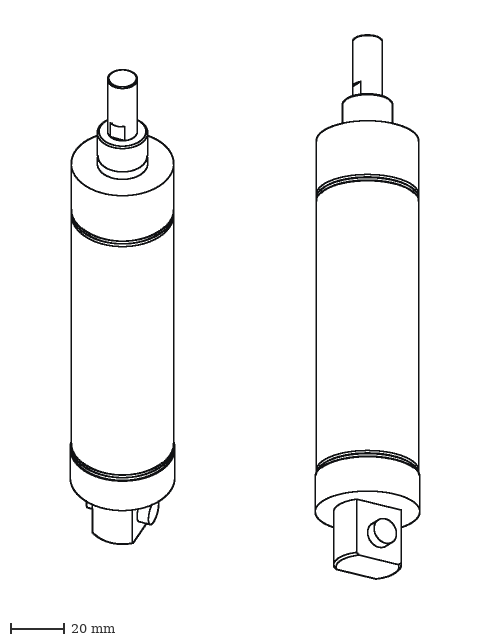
import cadquery as cq

CAP_BOTTOM = 22.7
CAP_TOP = 37.0
HEAD_BOTTOM = 152.8
HEAD_TOP = 174.9
COLLAR_TOP = 190.5
ROD_TOP = 216.2

CAP_DIAMETER = 39.5
TUBE_DIAMETER = 38.7
COLLAR_DIAMETER = 19.0
COLLAR_CHAMFER = 0.6

JOINT_GROOVE_WIDTH = 1.3
JOINT_GROOVE_DEPTH = 0.9
GROOVES_PER_JOINT = 2
JOINT_WIDTH = GROOVES_PER_JOINT * JOINT_GROOVE_WIDTH
COLLAR_GROOVE_BOTTOM = 176.8
COLLAR_GROOVE_WIDTH = 2.8
COLLAR_GROOVE_DEPTH = 0.32

TANG_DIAMETER = 25.5
TANG_THICKNESS = 16.2
TANG_CHAMFER = 0.9

PIN_DIAMETER = 10.0
PIN_LENGTH = TANG_DIAMETER
PIN_HEIGHT = 10.2

ROD_DIAMETER = 11.2
ROD_BOTTOM = HEAD_BOTTOM
ROD_TIP_CHAMFER = 0.5
FLATS_ACROSS = 9.5
FLATS_TOP = 197.1


def cylinder(diameter, bottom, top):
    """Upright cylinder on the Z axis."""
    return cq.Workplane("XY").workplane(offset=bottom).circle(diameter / 2).extrude(top - bottom)


def v_groove(diameter, bottom, width, depth):
    """Ring that cuts a V groove into a cylinder of the given diameter."""
    overshoot = depth
    outer_radius = diameter / 2 + overshoot
    root_radius = diameter / 2 - depth
    middle = bottom + width / 2
    half_mouth = width / 2 * (depth + overshoot) / depth
    return (
        cq.Workplane("XZ")
        .moveTo(root_radius, middle)
        .lineTo(outer_radius, middle - half_mouth)
        .lineTo(outer_radius, middle + half_mouth)
        .close()
        .revolve(360, (0, 0, 0), (0, 1, 0))
    )


def make_pin():
    """Pivot pin across the tang, along X."""
    return (
        cq.Workplane("YZ", origin=(-PIN_LENGTH / 2, 0, PIN_HEIGHT))
        .circle(PIN_DIAMETER / 2)
        .extrude(PIN_LENGTH)
    )


def make_rod():
    """Piston rod with wrench flats on the -Y and +Y sides, just above the collar."""
    rod = cylinder(ROD_DIAMETER, ROD_BOTTOM, ROD_TOP).faces(">Z").chamfer(ROD_TIP_CHAMFER)
    flats_length = FLATS_TOP - COLLAR_TOP
    flats_height = COLLAR_TOP + flats_length / 2
    for side in (-1, 1):
        flat_cutter = cq.Workplane("XY").box(ROD_DIAMETER, ROD_DIAMETER, flats_length).translate(
            (0, side * (FLATS_ACROSS + ROD_DIAMETER) / 2, flats_height)
        )
        rod = rod.cut(flat_cutter)
    return rod


def make_tang():
    """Round boss with two flats, bevelled around its lower end."""
    boss = cylinder(TANG_DIAMETER, 0, CAP_BOTTOM)
    slab = cq.Workplane("XY").box(
        TANG_THICKNESS, TANG_DIAMETER, CAP_BOTTOM, centered=(True, True, False)
    )
    return boss.faces("<Z").chamfer(TANG_CHAMFER).intersect(slab)


def make_housing():
    """End cap, tube, head, collar and tang, with seats for the rod and the pin."""
    collar = cylinder(COLLAR_DIAMETER, HEAD_TOP, COLLAR_TOP).faces(">Z").chamfer(COLLAR_CHAMFER)
    housing = (
        cylinder(CAP_DIAMETER, CAP_BOTTOM, CAP_TOP)
        .union(cylinder(TUBE_DIAMETER, CAP_TOP, HEAD_TOP))
        .union(collar)
        .union(make_tang())
    )

    for joint_bottom in (CAP_TOP, HEAD_BOTTOM - JOINT_WIDTH):
        for index in range(GROOVES_PER_JOINT):
            groove_bottom = joint_bottom + index * JOINT_GROOVE_WIDTH
            groove = v_groove(
                TUBE_DIAMETER, groove_bottom, JOINT_GROOVE_WIDTH, JOINT_GROOVE_DEPTH
            ).intersect(cylinder(CAP_DIAMETER, joint_bottom, joint_bottom + JOINT_WIDTH))
            housing = housing.cut(groove)

    housing = housing.cut(
        v_groove(COLLAR_DIAMETER, COLLAR_GROOVE_BOTTOM, COLLAR_GROOVE_WIDTH, COLLAR_GROOVE_DEPTH)
    )

    rod_seat = cylinder(ROD_DIAMETER, ROD_BOTTOM, COLLAR_TOP)
    return housing.cut(rod_seat).cut(make_pin())


housing = make_housing()
rod = make_rod()
pin = make_pin()

result = cq.Compound.makeCompound([housing.val(), rod.val(), pin.val()])